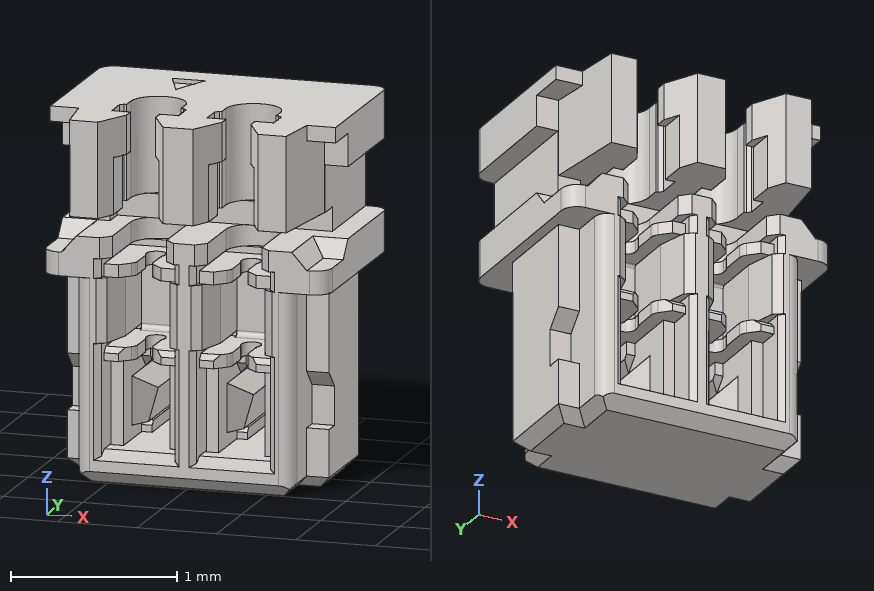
import cadquery as cq


TOP_Z = 2.28
BACK_Y = 1.37
PITCH = 0.6
CENTRES = (-PITCH / 2, PITCH / 2)

FLANGE_WIDTH = 1.8
FLANGE_HALF = FLANGE_WIDTH / 2
BACK_RADIUS = 0.1
FRONT_RADIUS = 0.11
TOP_FLANGE_Z = 1.98
LIP_THICKNESS = 0.095
TOP_LIP_Z = TOP_Z - LIP_THICKNESS
LIP_FRONT_Y = 0.3
NECK_HALF = 0.755
NECK_FRONT_Y = 0.55
MID_FLANGE_Z = 1.277
NECK_Z = 1.532
TEETH_Z = 1.683
RELIEF_LEFT_X = -PITCH

NOTCH_Z = 1.425
NOTCH_SLOPE = 0.095
NOTCH_DEPTH_X = 0.125

BODY_HALF = 0.685
BODY_FRONT_Y = 0.125
BODY_BACK_Y = 1.176
BODY_RADIUS = 0.09
BOTTOM_CHAMFER = 0.08
EAR_HALF = 0.825
EAR_FRONT_Y = 0.408
EAR_BACK_Y = 0.999
LATCH_DEPTH = 0.107
LATCH_BOTTOM_Z = 0.378
LATCH_TOP_Z = 0.73

TOOTH_OUTER_TIP_X = 0.682
TOOTH_OUTER_ROOT_X = 0.75
MOUTH_HALF = 0.205
MOUTH_Y = 0.221
NECK_SLOT_HALF = 0.091
WIDE_SLOT_HALF = 0.144
WIDE_SLOT_Z = 2.035
STEP_HALF = 0.21
STEP_BACK_Y = 0.451
STEP_CHAMFER = 0.023
HOLE_RADIUS = 0.17
HOLE_CENTRE_Y = 0.559

CAVITY_BACK_Y = 0.695
CAVITY_TOP_Z = 1.4
CAVITY_BOTTOM_Z = 0.15
FLOOR_Z = 0.203
OPENING_HALF = 0.27
CAVITY_HALF = 0.233
FLOOR_LEAD_Y = 0.221
POCKET_HALF = 0.145
BUMP_BOTTOM_Z = 0.873
BUMP_OPENING_HALF = 0.255
BUMP_HALF = 0.198
BUMP_LEAD_Y = 0.166
BUMP_TAPER_Y = 0.37

TERMINAL_HALF = 0.223
COLUMN_Y = 0.33
LOWER_BEND_RADIUS = 0.035
UPPER_BEND_RADIUS = 0.018

PLATE_FRONT_Y = 0.19
UPPER_PLATE_Z = (MID_FLANGE_Z, 1.357)
LOWER_PLATE_Z = (0.757, 0.84)
PLATE_CHAMFER = 0.035
SLOT_WIDTH = 0.098
SLOT_HALF = SLOT_WIDTH / 2
SLOT_EYE_RADIUS = 0.06
SLOT_EYE_Y = 0.525
SLOT_EYE_LENGTH = 0.023
FLARE_HALF = 0.135
FLARE_RADIUS = 0.073
SLOT_FLARE_Y = PLATE_FRONT_Y + FLARE_HALF - SLOT_HALF

WINDOW_HALF = 0.09
WINDOW_SLOPE_Z = 0.65
PRONG_FRONT_Y = 0.502
PRONG_TOP_Z = 0.593
PRONG_TIP_Z = 0.483
PRONG_TIP_HALF = 0.04
PRONG_BOTTOM_HALF = 0.08
PRONG_BOTTOM_Z = 0.287
PRONG_GAP = 0.014
STOP_CHAMFER_Z = 0.675
SILL_CHAMFER = 0.027

MARK_HALF = 0.103
MARK_BASE_Y = 1.172
MARK_TIP_Y = 0.917
MARK_DEPTH = 0.027


def box(x0, x1, y0, y1, z0, z1):
    return cq.Workplane("XY").box(x1 - x0, y1 - y0, z1 - z0, centered=False).translate((x0, y0, z0))


def plan_prism(points, z0, z1):
    """Extrude an XY outline from z0 to z1."""
    return cq.Workplane("XY").workplane(offset=z0).polyline(points).close().extrude(z1 - z0)


def side_prism(points, x0, x1):
    """Extrude a YZ outline from x0 to x1."""
    return cq.Workplane("YZ").workplane(offset=x0).polyline(points).close().extrude(x1 - x0)


def front_prism(points, y0, y1):
    """Extrude an XZ outline from y0 to y1."""
    return cq.Workplane("XZ").workplane(offset=-y0).polyline(points).close().extrude(y0 - y1)


def mirrored(half_points):
    """Close a half outline, given on the +X side, across X = 0."""
    return half_points + [(-x, y) for x, y in reversed(half_points)]


def lower_body():
    core = box(-BODY_HALF, BODY_HALF, BODY_FRONT_Y, BODY_BACK_Y, 0, MID_FLANGE_Z)
    tapered = core.faces("<Z").chamfer(BOTTOM_CHAMFER)
    core = core.edges("|Z").fillet(BODY_RADIUS).intersect(tapered)
    ears = box(-EAR_HALF, EAR_HALF, EAR_FRONT_Y, EAR_BACK_Y, 0, MID_FLANGE_Z)
    ears = ears.faces("<Z").chamfer(BOTTOM_CHAMFER)
    latch_y = EAR_FRONT_Y + LATCH_DEPTH
    latch = side_prism(
        [
            (EAR_FRONT_Y, LATCH_BOTTOM_Z),
            (latch_y, LATCH_BOTTOM_Z),
            (latch_y, LATCH_TOP_Z - LATCH_DEPTH),
            (EAR_FRONT_Y, LATCH_TOP_Z),
        ],
        -EAR_HALF,
        EAR_HALF,
    )
    return core.union(ears.cut(latch))


def middle_flange():
    flange = box(-FLANGE_HALF, FLANGE_HALF, BODY_FRONT_Y, BACK_Y, MID_FLANGE_Z, NECK_Z)
    flange = flange.edges("|Z and >Y").fillet(BACK_RADIUS)
    flange = flange.edges("|Z and <Y").fillet(FRONT_RADIUS)
    notch_side = side_prism(
        [
            (BODY_FRONT_Y, NOTCH_Z),
            (NECK_FRONT_Y - NOTCH_SLOPE, NOTCH_Z),
            (NECK_FRONT_Y, NECK_Z),
            (BODY_FRONT_Y, NECK_Z),
        ],
        -FLANGE_HALF,
        FLANGE_HALF,
    )
    floor_x = FLANGE_HALF - NOTCH_DEPTH_X
    for side in (-1, 1):
        notch_front = front_prism(
            [
                (side * FLANGE_HALF, NOTCH_Z),
                (side * floor_x, NOTCH_Z),
                (side * (floor_x - NOTCH_SLOPE), NECK_Z),
                (side * FLANGE_HALF, NECK_Z),
            ],
            BODY_FRONT_Y,
            NECK_FRONT_Y,
        )
        flange = flange.cut(notch_side.intersect(notch_front))
    return flange


def top_block():
    neck = box(-NECK_HALF, NECK_HALF, NECK_FRONT_Y, BACK_Y, NECK_Z, TOP_Z)
    relief = box(RELIEF_LEFT_X, NECK_HALF, NECK_FRONT_Y, CAVITY_BACK_Y, NECK_Z, TEETH_Z)
    flange = box(-FLANGE_HALF, FLANGE_HALF, NECK_FRONT_Y, BACK_Y, TOP_FLANGE_Z, TOP_Z)
    flange = flange.edges("|Z and >Y").fillet(BACK_RADIUS)
    lip = box(-FLANGE_HALF, FLANGE_HALF, LIP_FRONT_Y, NECK_FRONT_Y, TOP_LIP_Z, TOP_Z)
    outline = mirrored([(TOOTH_OUTER_TIP_X, 0), (TOOTH_OUTER_ROOT_X, NECK_FRONT_Y)])
    teeth = plan_prism(outline, TEETH_Z, TOP_Z)
    return neck.cut(relief).union(flange).union(lip).union(teeth)


def wire_hole():
    """Hole between the teeth, wider low down, and the matching hole in the middle flange."""
    hole = cq.Workplane("XY").workplane(offset=TEETH_Z).center(0, HOLE_CENTRE_Y)
    hole = hole.circle(HOLE_RADIUS).extrude(TOP_Z - TEETH_Z)
    flange_hole = cq.Workplane("XY").workplane(offset=CAVITY_TOP_Z).center(0, HOLE_CENTRE_Y)
    flange_hole = flange_hole.circle(HOLE_RADIUS).extrude(NECK_Z - CAVITY_TOP_Z)
    hole = hole.union(flange_hole)
    slot = [
        (MOUTH_HALF, 0),
        (NECK_SLOT_HALF, MOUTH_Y),
        (NECK_SLOT_HALF, LIP_FRONT_Y),
        (STEP_HALF, LIP_FRONT_Y),
        (STEP_HALF, STEP_BACK_Y),
        (STEP_HALF - STEP_CHAMFER, STEP_BACK_Y + STEP_CHAMFER),
        (HOLE_RADIUS, STEP_BACK_Y + STEP_CHAMFER),
        (HOLE_RADIUS, HOLE_CENTRE_Y),
    ]
    hole = hole.union(plan_prism(mirrored(slot), TEETH_Z, TOP_Z))
    hole = hole.union(box(-WIDE_SLOT_HALF, WIDE_SLOT_HALF, 0, LIP_FRONT_Y, TEETH_Z, WIDE_SLOT_Z))
    mouth = [
        (CAVITY_HALF, BODY_FRONT_Y),
        (HOLE_RADIUS, BODY_FRONT_Y + CAVITY_HALF - HOLE_RADIUS),
        (HOLE_RADIUS, HOLE_CENTRE_Y),
    ]
    return hole.union(plan_prism(mirrored(mouth), CAVITY_TOP_Z, NECK_Z))


def contact_plate(z0, z1):
    plate = box(-TERMINAL_HALF, TERMINAL_HALF, PLATE_FRONT_Y, CAVITY_BACK_Y, z0, z1)
    half_slot = [(FLARE_HALF, PLATE_FRONT_Y), (SLOT_HALF, SLOT_FLARE_Y), (SLOT_HALF, SLOT_EYE_Y)]
    slot = plan_prism(mirrored(half_slot), z0, z1)
    bend_reach = SLOT_HALF + 0.023
    flare_bends = cq.selectors.BoxSelector(
        (-bend_reach, SLOT_FLARE_Y - 0.023, z0), (bend_reach, SLOT_FLARE_Y + 0.023, z1)
    )
    slot = slot.edges("|Z").edges(flare_bends).fillet(FLARE_RADIUS)
    eye = cq.Workplane("XY").workplane(offset=z0).center(0, SLOT_EYE_Y - SLOT_EYE_LENGTH / 2)
    eye = eye.slot2D(SLOT_EYE_LENGTH + 2 * SLOT_EYE_RADIUS, 2 * SLOT_EYE_RADIUS, 90).extrude(z1 - z0)
    return plate.cut(slot).cut(eye)


def prongs():
    """Pair of spring prongs closing in on each other towards the back."""
    pair = cq.Workplane("XY")
    for side in (-1, 1):
        face = front_prism(
            [
                (side * POCKET_HALF, PRONG_TOP_Z),
                (side * PRONG_TIP_HALF, PRONG_TIP_Z),
                (side * PRONG_BOTTOM_HALF, PRONG_BOTTOM_Z),
                (side * POCKET_HALF, PRONG_BOTTOM_Z),
            ],
            PRONG_FRONT_Y,
            BODY_BACK_Y,
        )
        wedge = plan_prism(
            [
                (side * POCKET_HALF, PRONG_FRONT_Y),
                (side * PRONG_TIP_HALF, CAVITY_BACK_Y),
                (side * PRONG_TIP_HALF, BODY_BACK_Y),
                (side * POCKET_HALF, BODY_BACK_Y),
            ],
            PRONG_BOTTOM_Z,
            PRONG_TOP_Z,
        )
        pair = pair.add(face.intersect(wedge))
    return pair.combine()


def mating_window():
    """Window from the terminal pocket out through the back of the body."""
    sill_z = PRONG_BOTTOM_Z - PRONG_GAP
    half = [
        (PRONG_BOTTOM_HALF, FLOOR_Z),
        (PRONG_BOTTOM_HALF, sill_z),
        (POCKET_HALF, sill_z),
        (POCKET_HALF, PRONG_TOP_Z),
        (WINDOW_HALF, WINDOW_SLOPE_Z),
        (WINDOW_HALF, LOWER_PLATE_Z[0]),
    ]
    window = front_prism(mirrored(half), CAVITY_BACK_Y, BODY_BACK_Y)
    stop_chamfer = [
        (CAVITY_BACK_Y, STOP_CHAMFER_Z),
        (CAVITY_BACK_Y, PRONG_TOP_Z),
        (CAVITY_BACK_Y + STOP_CHAMFER_Z - PRONG_TOP_Z, PRONG_TOP_Z),
    ]
    sill_chamfer = [
        (CAVITY_BACK_Y, sill_z - SILL_CHAMFER),
        (CAVITY_BACK_Y, sill_z),
        (CAVITY_BACK_Y + SILL_CHAMFER, sill_z),
    ]
    for chamfer in (stop_chamfer, sill_chamfer):
        window = window.union(side_prism(chamfer, -POCKET_HALF, POCKET_HALF))
    return window


def plate_bend(plate_z, radius, direction):
    """Concave round between the terminal back and a plate face, upwards (1) or downwards (-1)."""
    centre_y = CAVITY_BACK_Y - radius
    centre_z = plate_z + direction * radius
    z0, z1 = sorted((plate_z, centre_z))
    hollow = cq.Workplane("YZ").center(centre_y, centre_z).circle(radius).extrude(POCKET_HALF, both=True)
    return box(-POCKET_HALF, POCKET_HALF, centre_y, CAVITY_BACK_Y, z0, z1).cut(hollow)


def terminal():
    """Terminal fused to the back of its cavity: two plates, bends, side columns and prongs."""
    lower_plate = contact_plate(*LOWER_PLATE_Z).faces("<Y").edges(">Z").chamfer(PLATE_CHAMFER)
    lower_bend = plate_bend(LOWER_PLATE_Z[1], LOWER_BEND_RADIUS, 1)
    upper_bend = plate_bend(UPPER_PLATE_Z[0], UPPER_BEND_RADIUS, -1)
    solid = contact_plate(*UPPER_PLATE_Z).add(upper_bend).add(lower_plate).add(lower_bend).add(prongs())
    column_top = LOWER_PLATE_Z[0]
    for x0, x1 in ((-TERMINAL_HALF, -POCKET_HALF), (POCKET_HALF, TERMINAL_HALF)):
        solid = solid.add(box(x0, x1, COLUMN_Y, CAVITY_BACK_Y, FLOOR_Z, column_top))
    return solid.combine()


def terminal_cavity():
    lead_in_y = BODY_FRONT_Y + OPENING_HALF - CAVITY_HALF
    opening = mirrored(
        [(OPENING_HALF, BODY_FRONT_Y), (CAVITY_HALF, lead_in_y), (CAVITY_HALF, CAVITY_BACK_Y)]
    )
    upper = plan_prism(opening, MID_FLANGE_Z, CAVITY_TOP_Z)

    bump = [
        (BUMP_OPENING_HALF, BODY_FRONT_Y),
        (BUMP_HALF, BUMP_LEAD_Y),
        (POCKET_HALF, BUMP_TAPER_Y),
        (POCKET_HALF, CAVITY_BACK_Y),
    ]
    middle = plan_prism(mirrored(bump), BUMP_BOTTOM_Z, MID_FLANGE_Z)

    lower = plan_prism(opening, CAVITY_BOTTOM_Z, BUMP_BOTTOM_Z)
    floor = side_prism(
        [
            (BODY_FRONT_Y, CAVITY_BOTTOM_Z),
            (FLOOR_LEAD_Y, FLOOR_Z),
            (CAVITY_BACK_Y, FLOOR_Z),
            (CAVITY_BACK_Y, BUMP_BOTTOM_Z),
            (BODY_FRONT_Y, BUMP_BOTTOM_Z),
        ],
        -OPENING_HALF,
        OPENING_HALF,
    )
    cavity = upper.union(middle).union(lower.intersect(floor)).union(mating_window())
    return cavity.cut(terminal())


def pin_one_mark():
    x = CENTRES[0]
    outline = [(x - MARK_HALF, MARK_BASE_Y), (x + MARK_HALF, MARK_BASE_Y), (x, MARK_TIP_Y)]
    return plan_prism(outline, TOP_Z - MARK_DEPTH, TOP_Z)


result = lower_body().union(middle_flange()).union(top_block())
position_cut = terminal_cavity().union(wire_hole())
for centre in CENTRES:
    result = result.cut(position_cut.translate((centre, 0, 0)))
result = result.cut(pin_one_mark())